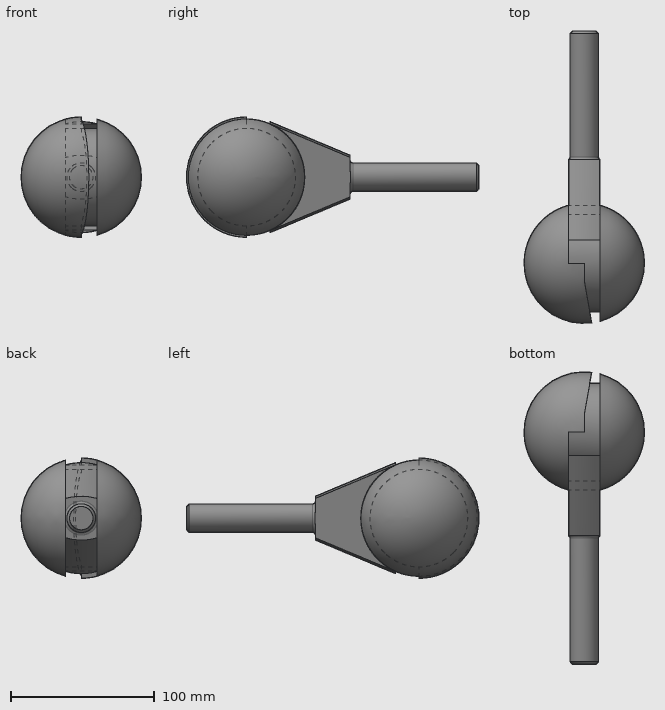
import cadquery as cq
import math

total_length = 203.7
ball_radius = 42.0
rod_end_y = total_length - ball_radius

arm_thickness = 21.5
half_thickness = arm_thickness / 2
arm_end_y = 72.1
arm_end_half_height = 15.3
core_diameter = 68.0
socket_radius = 40.3

rod_diameter = 20.0
rod_chamfer = 1.8
rod_root_fillet = 1.8

lip_bend_y = -11.8
lip_tip_x = 5.3

corner_distance = math.hypot(arm_end_y, arm_end_half_height)
corner_angle = math.atan2(arm_end_half_height, arm_end_y)
tangent_angle = corner_angle + math.acos(ball_radius / corner_distance)
shoulder_y = ball_radius * math.cos(tangent_angle)
taper_angle = 90 - math.degrees(tangent_angle)


def make_ball():
    """Ball whose axis of revolution is X."""
    return (
        cq.Workplane("XY")
        .moveTo(-ball_radius, 0)
        .threePointArc((0, ball_radius), (ball_radius, 0))
        .close()
        .revolve(360, (0, 0, 0), (1, 0, 0))
    )


def make_caps():
    """Two ball caps, one on each side of the arm."""
    gap = cq.Workplane("XY").box(arm_thickness, 3 * ball_radius, 3 * ball_radius)
    return make_ball().cut(gap)


def make_core():
    """Round disc joining the caps."""
    return cq.Workplane("YZ").circle(core_diameter / 2).extrude(half_thickness, both=True)


def make_arm():
    """Tapered slab whose sloping edges are crowned to the ball radius.

    Its front end is a round socket that leaves an open ring around the core.
    """
    arm_length = arm_end_y - shoulder_y
    arm = (
        cq.Workplane("XY")
        .box(arm_thickness, arm_length, 2 * ball_radius)
        .translate((0, (arm_end_y + shoulder_y) / 2, 0))
    )
    for side in (-1, 1):
        crown = (
            cq.Workplane("XZ")
            .circle(ball_radius)
            .extrude(total_length, both=True)
            .rotate((0, 0, 0), (1, 0, 0), side * taper_angle)
        )
        arm = arm.intersect(crown)
    socket = cq.Workplane("YZ").circle(socket_radius).extrude(half_thickness, both=True)
    return arm.cut(socket)


def make_lip():
    """Spherical lip on the front half, with an edge that leans across the gap."""
    front_y = -ball_radius
    outline = [
        (-half_thickness, 0),
        (0, 0),
        (0, lip_bend_y),
        (lip_tip_x, front_y),
        (-half_thickness, front_y),
    ]
    block = cq.Workplane("XY").polyline(outline).close().extrude(ball_radius, both=True)
    return make_ball().intersect(block)


def make_rod():
    """Round rod running from inside the arm to a chamfered free end."""
    rod_length = rod_end_y - socket_radius
    rod = (
        cq.Workplane("XZ", origin=(0, socket_radius, 0))
        .circle(rod_diameter / 2)
        .extrude(-rod_length)
    )
    return rod.faces(">Y").chamfer(rod_chamfer)


def make_root_fillet():
    """Concave flare where the rod meets the arm, trimmed flush with the arm's sides."""
    rod_radius = rod_diameter / 2
    flare_radius = rod_radius + rod_root_fillet
    flare_end_y = arm_end_y + rod_root_fillet
    arc_inset = rod_root_fillet * (1 - math.sqrt(0.5))
    flare = (
        cq.Workplane("XY")
        .moveTo(0, arm_end_y)
        .lineTo(flare_radius, arm_end_y)
        .threePointArc((rod_radius + arc_inset, arm_end_y + arc_inset), (rod_radius, flare_end_y))
        .lineTo(0, flare_end_y)
        .close()
        .revolve(360, (0, 0, 0), (0, 1, 0))
    )
    slab = cq.Workplane("XY").box(arm_thickness, 2 * total_length, 2 * ball_radius)
    return flare.intersect(slab)


result = (
    make_core()
    .union(make_caps())
    .union(make_arm())
    .union(make_lip())
    .union(make_rod())
    .union(make_root_fillet())
)